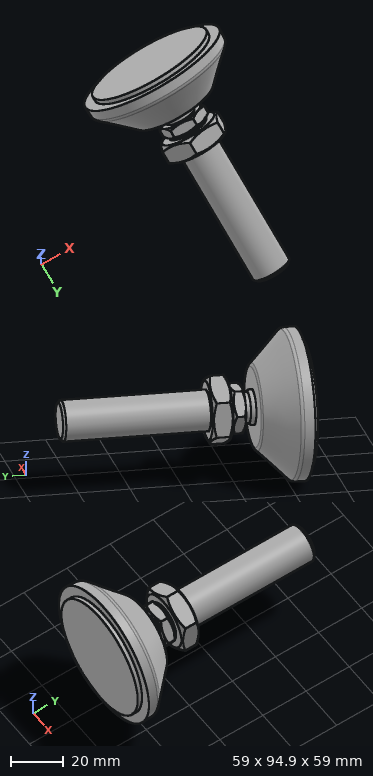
import cadquery as cq
import math

TOTAL_LENGTH = 94.9

PAD_RADIUS = 25.0
PAD_HEIGHT = 2.0
RIM_RADIUS = 29.5
RIM_TOP_RADIUS = 29.3
SHOULDER_Y = 6.8
CONE_TOP_RADIUS = 16.2
FOOT_TOP_Y = 20.0
CONE_EDGE_FILLET = 2.0

COLLAR_RADIUS = 6.8
COLLAR_BULGE_RADIUS = 6.7
COLLAR_BULGE_Y = 21.0
NECK_BOTTOM_Y = 21.9
NECK_RADIUS = 6.0
STUD_HEX_FLATS = 17.0
STUD_HEX_BOTTOM_Y = 24.3
STUD_HEX_TOP_Y = 29.1
STUD_HEX_BOTTOM_FACE_RADIUS = STUD_HEX_FLATS / 2
STUD_HEX_TOP_FACE_RADIUS = 7.9
RELIEF_RADIUS = 7.7
SHANK_RADIUS = 8.0
SHANK_CHAMFER = 1.0
SOCKET_DEPTH = 7.6

NUT_FLATS = 24.0
NUT_TURN = 30.0
NUT_BOTTOM_Y = 29.9
NUT_HEIGHT = 8.0
NUT_FACE_RADIUS = 11.4

HEX_CHAMFER_ANGLE = 30.0


def revolve_profile(points):
    """Solid of revolution about Y from a closed (radius, y) outline."""
    return cq.Workplane("XY").polyline(points).close().revolve(360, (0, 0, 0), (0, 1, 0))


def cylinder(radius, bottom_y, top_y):
    return revolve_profile([(0, bottom_y), (radius, bottom_y), (radius, top_y), (0, top_y)])


def chamfered_hexagon(flats, bottom_y, top_y, bottom_face_radius, top_face_radius, corner_angle):
    """Hexagon along Y with conically chamfered corners; corner_angle turns it about Y."""
    corner_radius = flats / math.sqrt(3)
    chamfer_slope = math.tan(math.radians(HEX_CHAMFER_ANGLE))
    bottom_drop = (corner_radius - bottom_face_radius) * chamfer_slope
    top_drop = (corner_radius - top_face_radius) * chamfer_slope
    prism = (
        cq.Workplane("XZ", origin=(0, bottom_y, 0))
        .polygon(6, 2 * corner_radius)
        .extrude(bottom_y - top_y)
        .rotate((0, 0, 0), (0, 1, 0), corner_angle)
    )
    envelope = revolve_profile([
        (0, bottom_y),
        (bottom_face_radius, bottom_y),
        (corner_radius, bottom_y + bottom_drop),
        (corner_radius, top_y - top_drop),
        (top_face_radius, top_y),
        (0, top_y),
    ])
    return prism.intersect(envelope)


def make_foot():
    bell = revolve_profile([
        (0, PAD_HEIGHT),
        (RIM_RADIUS, PAD_HEIGHT),
        (RIM_TOP_RADIUS, SHOULDER_Y),
        (CONE_TOP_RADIUS, FOOT_TOP_Y),
        (0, FOOT_TOP_Y),
    ])
    bell = bell.edges("%CIRCLE and (not <Y)").fillet(CONE_EDGE_FILLET)
    pad = cylinder(PAD_RADIUS, 0, PAD_HEIGHT)
    socket = cylinder(COLLAR_RADIUS, FOOT_TOP_Y - SOCKET_DEPTH, FOOT_TOP_Y)
    return bell.union(pad).cut(socket)


def make_stud():
    socket_floor_y = FOOT_TOP_Y - SOCKET_DEPTH
    turned = (
        cq.Workplane("XY")
        .moveTo(0, socket_floor_y)
        .lineTo(COLLAR_RADIUS, socket_floor_y)
        .lineTo(COLLAR_RADIUS, FOOT_TOP_Y)
        .threePointArc((COLLAR_BULGE_RADIUS, COLLAR_BULGE_Y), (NECK_RADIUS, NECK_BOTTOM_Y))
        .lineTo(NECK_RADIUS, STUD_HEX_BOTTOM_Y)
        .lineTo(RELIEF_RADIUS, STUD_HEX_BOTTOM_Y)
        .lineTo(RELIEF_RADIUS, NUT_BOTTOM_Y)
        .lineTo(SHANK_RADIUS, NUT_BOTTOM_Y)
        .lineTo(SHANK_RADIUS, TOTAL_LENGTH - SHANK_CHAMFER)
        .lineTo(SHANK_RADIUS - SHANK_CHAMFER, TOTAL_LENGTH)
        .lineTo(0, TOTAL_LENGTH)
        .close()
        .revolve(360, (0, 0, 0), (0, 1, 0))
    )
    hexagon = chamfered_hexagon(
        STUD_HEX_FLATS,
        STUD_HEX_BOTTOM_Y,
        STUD_HEX_TOP_Y,
        STUD_HEX_BOTTOM_FACE_RADIUS,
        STUD_HEX_TOP_FACE_RADIUS,
        0,
    )
    return turned.union(hexagon)


def make_nut():
    nut_top_y = NUT_BOTTOM_Y + NUT_HEIGHT
    blank = chamfered_hexagon(NUT_FLATS, NUT_BOTTOM_Y, nut_top_y, NUT_FACE_RADIUS, NUT_FACE_RADIUS, NUT_TURN)
    return blank.cut(cylinder(SHANK_RADIUS, NUT_BOTTOM_Y, nut_top_y))


foot = make_foot()
stud = make_stud()
nut = make_nut()

result = cq.Compound.makeCompound([foot.val(), stud.val(), nut.val()])